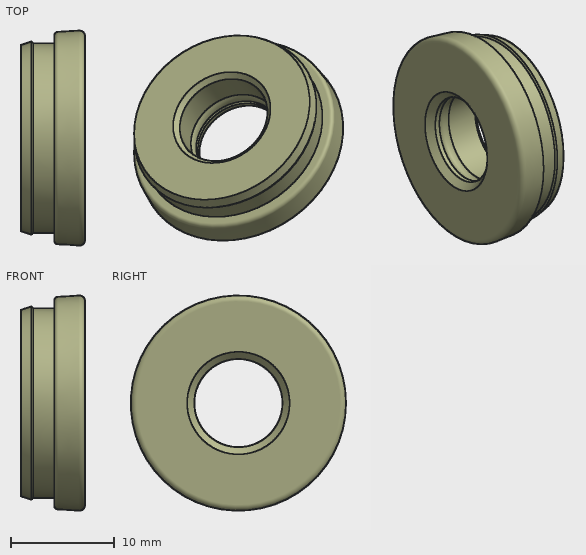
import cadquery as cq
import math

width = 6.2
outer_radius = 10.4
front_x = -width / 2
rear_x = width / 2

plug_length = 5.0
plug_radius = 9.17
barb_front_radius = 9.0
barb_peak_radius = 9.34
barb_peak_depth = 1.02
barb_end_depth = 1.19
plug_bore_radius = 4.5
plug_chamfer = 0.5
lip_start_depth = 3.68
lip_radius = 4.25
lip_rear_fillet = 0.56

cap_length = 3.0
cap_bore_radius = lip_radius
cap_bore_chamfer = 0.7
rim_front_fillet = 0.4
rim_rear_fillet = 0.56
rim_taper = math.radians(3.5)

seat_x = front_x + plug_length
cap_front_x = rear_x - cap_length

rim_rear_radius = outer_radius + rim_rear_fillet * (1 / math.cos(rim_taper) + math.tan(rim_taper) - 1)
rim_front_radius = rim_rear_radius - cap_length * math.tan(rim_taper)


def revolve_about_x(profile):
    """Revolve a closed outline of (x, radius) points about the X axis."""
    return profile.close().revolve(360, (0, 0, 0), (1, 0, 0))


def make_plug():
    lip_crest_x = seat_x - lip_rear_fillet
    lip_start_x = front_x + lip_start_depth
    fillet_centre_radius = lip_radius + lip_rear_fillet
    fillet_offset = lip_rear_fillet * math.sqrt(0.5)
    profile = (
        cq.Workplane("XY")
        .moveTo(front_x, plug_bore_radius + plug_chamfer)
        .lineTo(front_x, barb_front_radius)
        .lineTo(front_x + barb_peak_depth, barb_peak_radius)
        .lineTo(front_x + barb_end_depth, plug_radius)
        .lineTo(seat_x, plug_radius)
        .lineTo(seat_x, fillet_centre_radius)
        .threePointArc(
            (lip_crest_x + fillet_offset, fillet_centre_radius - fillet_offset),
            (lip_crest_x, lip_radius),
        )
        .tangentArcPoint((lip_start_x, plug_bore_radius), relative=False)
        .lineTo(front_x + plug_chamfer, plug_bore_radius)
    )
    return revolve_about_x(profile)


def make_cap():
    profile = (
        cq.Workplane("XY")
        .moveTo(cap_front_x, plug_radius)
        .lineTo(cap_front_x, rim_front_radius)
        .lineTo(rear_x, rim_rear_radius)
        .lineTo(rear_x, cap_bore_radius + cap_bore_chamfer)
        .lineTo(rear_x - cap_bore_chamfer, cap_bore_radius)
        .lineTo(seat_x, cap_bore_radius)
        .lineTo(seat_x, plug_radius)
    )
    cap = revolve_about_x(profile)
    largest_edge = cq.selectors.RadiusNthSelector(-1)
    cap = cap.faces("<X").edges(largest_edge).fillet(rim_front_fillet)
    return cap.faces(">X").edges(largest_edge).fillet(rim_rear_fillet)


plug = make_plug()
cap = make_cap()

result = cq.Compound.makeCompound([plug.val(), cap.val()])